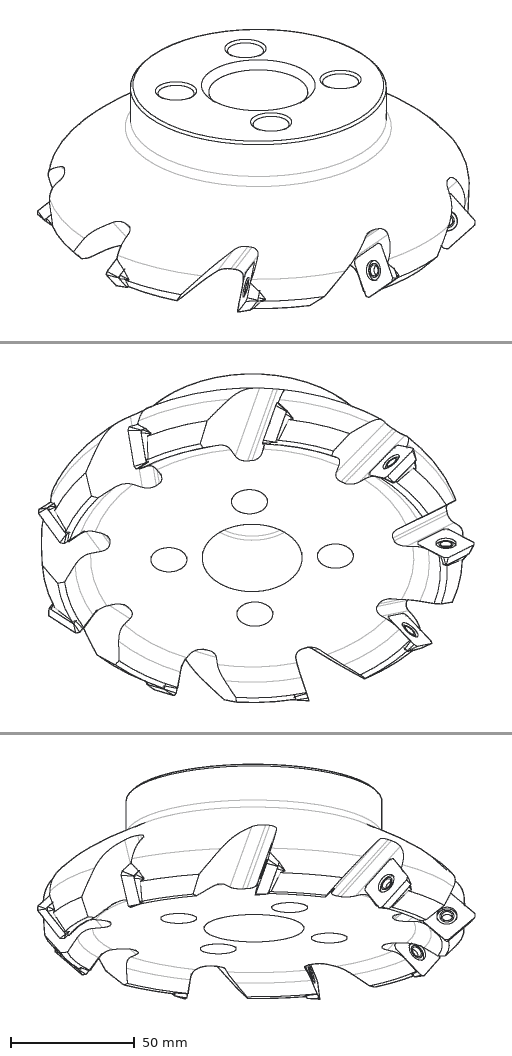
import cadquery as cq
import math


total_height = 63.0
hub_radius = 103.5 / 2
hub_chamfer = 1.0
hub_bottom_z = 47.6
neck_bulge = 0.5
shoulder_top_radius = 53.8
shoulder_top_z = 44.0
shoulder_slope = math.radians(28.4)
shoulder_curve_points = [(73.6, 33.5), (81.2, 27.2)]
rim_radius = 85.3
rim_top_z = 17.9
rim_bottom_radius = 85
rim_bottom_z = 7.8
foot_radius = 78.9
foot_z = 1.5

recess_radius = 76
recess_ceiling_z = 8.5
recess_flare = math.radians(45)
recess_round = 8.8

bore_radius = 40.0 / 2
relief_radius = 40.3 / 2
bore_chamfer = 3.0
bore_length = 24.2
relief_step_length = 2.1

bolt_spacing = 47.6
bolt_hole_diameter = 14.5
bolt_hole_chamfer = 1.0

insert_count = 9
first_insert_angle = 23.1
insert_side = 17.3
insert_corner_chamfer = 1.2
insert_thickness = 4.8
relief_angle = 22
insert_center_radius = 78.5
insert_center_lead = 0.9
insert_center_z = 11.0
seat_backing_depth = 8.8
seat_backing_taper = 30
axial_rake = 17
radial_rake = 4.5

screw_head_diameter = 8.1
screw_crown_diameter = 5.7
screw_socket_diameter = 4.5
screw_setback = 0.4
screw_crown_height = 0.9
screw_socket_depth = 2.1

gullet_floor_offset = 12.4
gullet_floor_width = 7.8
gullet_wall_angle = math.radians(39.5)
gullet_root_round = 3.0
gullet_wall_round = 6.7
gullet_reach = 53


def make_blank():
    """Body of revolution with its rounded shoulder and the recess below it."""
    neck_point = (hub_radius + neck_bulge, (hub_bottom_z + shoulder_top_z) / 2)
    flare_top_radius = recess_radius - (recess_ceiling_z - foot_z) / math.tan(recess_flare)
    recess_round_start = flare_top_radius - recess_round * math.tan(recess_flare / 2)

    def on_recess_round(angle):
        return (
            recess_round_start + recess_round * math.sin(angle),
            recess_ceiling_z - recess_round * (1 - math.cos(angle)),
        )

    outline = (
        cq.Workplane("XZ")
        .moveTo(0, total_height)
        .lineTo(hub_radius - hub_chamfer, total_height)
        .lineTo(hub_radius, total_height - hub_chamfer)
        .lineTo(hub_radius, hub_bottom_z)
        .threePointArc(neck_point, (shoulder_top_radius, shoulder_top_z))
        .spline(
            [*shoulder_curve_points, (rim_radius, rim_top_z)],
            tangents=[(math.cos(shoulder_slope), -math.sin(shoulder_slope)), (0, -1)],
            includeCurrent=True,
        )
        .lineTo(rim_bottom_radius, rim_bottom_z)
        .lineTo(foot_radius, foot_z)
        .lineTo(recess_radius, foot_z)
        .lineTo(*on_recess_round(recess_flare))
        .threePointArc(on_recess_round(recess_flare / 2), (recess_round_start, recess_ceiling_z))
        .lineTo(0, recess_ceiling_z)
        .close()
    )
    return outline.revolve(360, (0, 0, 0), (0, 1, 0))


def make_bore():
    """Centre bore with a top chamfer, widening slightly below its guiding length."""
    guide_bottom_z = total_height - bore_length
    return (
        cq.Workplane("XZ")
        .moveTo(0, total_height)
        .lineTo(bore_radius + bore_chamfer, total_height)
        .lineTo(bore_radius, total_height - bore_chamfer)
        .lineTo(bore_radius, guide_bottom_z)
        .lineTo(relief_radius, guide_bottom_z - relief_step_length)
        .lineTo(relief_radius, 0)
        .lineTo(0, 0)
        .close()
        .revolve(360, (0, 0, 0), (0, 1, 0))
    )


def make_bolt_holes():
    """Four through holes around the bore, chamfered at the top."""
    top = cq.Workplane("XY").workplane(offset=total_height)
    spots = top.rect(bolt_spacing, bolt_spacing, forConstruction=True).vertices()
    holes = spots.circle(bolt_hole_diameter / 2).extrude(-total_height)
    rims = spots.circle(bolt_hole_diameter / 2 + bolt_hole_chamfer).extrude(-bolt_hole_chamfer, taper=45)
    return holes.union(rims)




def at_seat(flat_shape, index):
    """Stand a flat-built shape on its corner, tilt it by the rake angles and move it to its seat."""
    return (
        flat_shape.rotate((0, 0, 0), (0, 0, 1), 45)
        .rotate((0, 0, 0), (1, 0, 0), -axial_rake)
        .rotate((0, 0, 0), (0, 1, 0), radial_rake)
        .rotate((0, 0, 0), (1, 0, 0), 90)
        .translate((insert_center_radius, -insert_center_lead, insert_center_z))
        .rotate((0, 0, 0), (0, 0, 1), first_insert_angle + index * 360 / insert_count)
    )


def clipped_square(side):
    """Flat outline of the insert: a square with clipped corners."""
    return cq.Sketch().rect(side, side).vertices().chamfer(insert_corner_chamfer)


def make_insert_blank():
    """Square insert with clipped corners and relieved flanks."""
    return (
        cq.Workplane("XY")
        .placeSketch(clipped_square(insert_side))
        .extrude(-insert_thickness, taper=relief_angle)
    )


def make_seat_backing():
    """Tapered boss of the body that carries the insert's back face."""
    back_side = insert_side - 2 * insert_thickness * math.tan(math.radians(relief_angle))
    return (
        cq.Workplane("XY")
        .workplane(offset=-insert_thickness)
        .placeSketch(clipped_square(back_side))
        .extrude(-seat_backing_depth, taper=seat_backing_taper)
    )


def make_screw_hole():
    """Straight hole through the insert."""
    return cq.Workplane("XY").circle(screw_head_diameter / 2).extrude(-insert_thickness)


def make_screw():
    """Screw that fills the insert hole, with a bevelled crown and a round socket."""
    crown_z = -screw_setback
    socket_floor_z = crown_z - screw_socket_depth
    return (
        cq.Workplane("XZ")
        .moveTo(0, -insert_thickness)
        .lineTo(screw_head_diameter / 2, -insert_thickness)
        .lineTo(screw_head_diameter / 2, crown_z - screw_crown_height)
        .lineTo(screw_crown_diameter / 2, crown_z)
        .lineTo(screw_socket_diameter / 2, crown_z)
        .lineTo(screw_socket_diameter / 2, socket_floor_z)
        .lineTo(0, socket_floor_z)
        .close()
        .revolve(360, (0, 0, 0), (0, 1, 0))
    )


def make_gullet():
    """Long channel along the insert's upper inner side, with two rounded bottom corners."""
    mouth_y = gullet_floor_offset - gullet_reach
    wall_rise = gullet_reach * math.tan(gullet_wall_angle)
    channel = (
        cq.Workplane("YZ")
        .moveTo(gullet_floor_offset, 0)
        .lineTo(mouth_y, 0)
        .lineTo(mouth_y, gullet_floor_width + wall_rise)
        .lineTo(gullet_floor_offset, gullet_floor_width)
        .close()
        .extrude(gullet_reach, both=True)
    )
    root_edge = cq.selectors.NearestToPointSelector((0, gullet_floor_offset, 0))
    wall_edge = cq.selectors.NearestToPointSelector((0, gullet_floor_offset, gullet_floor_width))
    return channel.edges(root_edge).fillet(gullet_root_round).edges(wall_edge).fillet(gullet_wall_round)


insert_blank = make_insert_blank()
insert = insert_blank.cut(make_screw_hole())
seat_backing = make_seat_backing()
screw = make_screw()
gullet = make_gullet()

body = make_blank().cut(make_bore()).cut(make_bolt_holes())
inserts = []
for index in range(insert_count):
    body = body.union(at_seat(seat_backing, index))
    body = body.cut(at_seat(gullet, index)).cut(at_seat(insert_blank, index))
    body = body.union(at_seat(screw, index))
    inserts.append(at_seat(insert, index))

result = cq.Compound.makeCompound([body.val(), *[one.val() for one in inserts]])